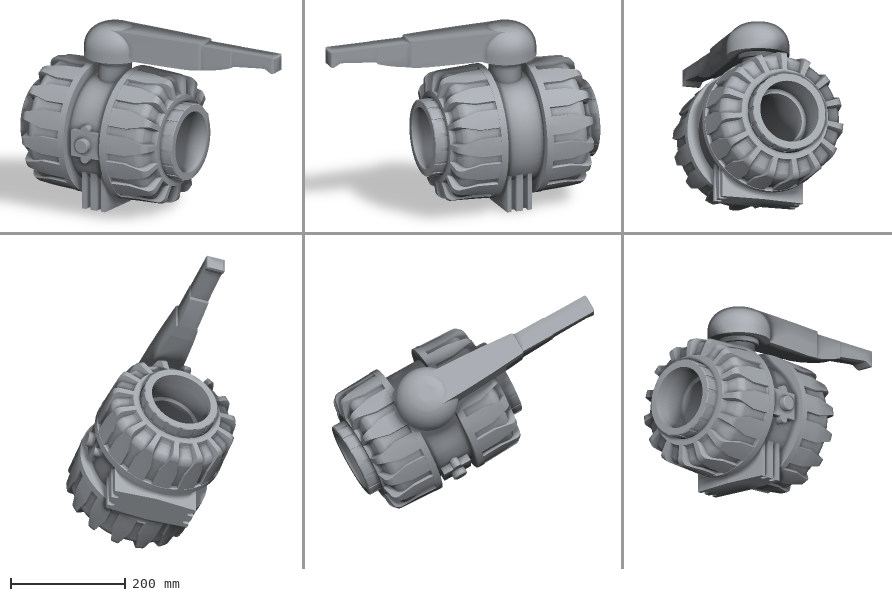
import cadquery as cq
import math


OVERALL_LENGTH = 484.0
BORE_DIA = 94.0
SOCKET_DIA = 110.0
PIPE_DIA = 137.0
PIPE_GROOVE_DIA = 134.0
NUT_BORE_DIA = 140.0
BARREL_DIA = 195.5
NUT_DIA = 237.5
COLLAR_DIA = 70.0

BARREL_HALF_LENGTH = 72.5
PIPE_END_X = 154.0

BOSS_BASE_R = 30.5
BOSS_TOP_R = 28.5
BOSS_BASE_Z = 87.0
BOSS_TOP_Z = 128.5

PAD_WIDTH = 53.0
PAD_HEIGHT = 47.5
PAD_FACE_Y = -108.0
PAD_ROOT_Y = -77.5
TAB_R = 8.0
TAB_CENTRE_Z = 25.5
PIN_R = 13.0
PIN_END_Y = -120.0
PIN_CHAMFER = 1.5

FOOT_BOTTOM_Z = -129.0
FOOT_TOP_Z = -53.0
FOOT_HALF_DEPTH = 76.0
FOOT_MIDDLE_HALF_WIDTH = 28.0
FOOT_END_HALF_WIDTH = 23.0
FOOT_SLOT_X = 10.5
FOOT_SLOT_WIDTH = 8.5
FOOT_SLOT_DEPTH = 12.5

SOCKET_DEPTH = 62.0
PIPE_GROOVE_COUNT = 16
PIPE_GROOVE_WIDTH = 6.5
PIPE_CHAMFER = 1.5

NUT_INNER_X = 36.5
NUT_FLANGE_X = 48.5
NUT_OUTER_X = 131.5
FACE_RING_R = 81.5
RIB_COUNT = 15
RIB_HALF_WIDTH = 16.5
RIB_TIP_HALF_WIDTH = 4.5
RIB_TAPER_X = 84.5
RIB_ROOT_R = 75.0
RIB_START_R = 118.0
RIB_SHOULDER_X = 116.0
RIB_SHOULDER_R = 115.0
RIB_FACE_X = 128.5
RIB_FACE_R = 104.0
POCKET_R = 112.5
POCKET_BEND_X = 103.5
POCKET_FACE_X = 115.0
POCKET_FACE_R = 104.5
POCKET_ROOT_X = 122.0
POCKET_ROOT_R = 85.5
POCKET_RING_X = 125.5
POCKET_RING_R = 83.0
POCKET_STEP = 2.5
LUG_WIDTH = 15.5
LUG_THICKNESS = 2.5
LUG_ROOT_R = 106.5
LUG_TOP_R = 120.0

HUB_R = 55.0
DOME_FLAT_R = 14.0
HUB_BOTTOM_Z = 137.0
DOME_TOP_Z = 194.5
ARM_TOP_Z = 190.5
ARM_BOTTOM_Z = 140.0
ARM_END_X = 181.0
ARM_TOP_END_X = 184.0
GRIP_TOP_Z = 187.0
GRIP_START_X = 185.5
GRIP_STEP_X = 243.5
GRIP_STEP_END_X = 246.5
HANDLE_END_X = OVERALL_LENGTH - PIPE_END_X

ARM_BEND_X = 158.5
GRIP_START_BOTTOM_Z = 142.5
GRIP_BELLY_POINT = (214.0, 147.0)
GRIP_STEP_BOTTOM_Z = 155.5
GRIP_TAIL_BOTTOM_Z = 158.8
GRIP_WAIST_START_X = 306.0
GRIP_WAIST_END_X = 313.5
GRIP_WAIST_Z = 165.0
TIP_ROUND_X = 325.0
TIP_BOTTOM_Z = 158.8
TIP_CHAMFER = 2.0

ARM_ROOT_HALF_WIDTH = 30.5
ARM_SIDE_POINT = (92.0, 27.0)
ARM_END_HALF_WIDTH = 20.5
GRIP_HALF_WIDTH = 17.5
TAIL_HALF_WIDTH = 16.5
TIP_ROUND_POINT = (328.5, 15.5)
TIP_HALF_WIDTH = 12.5


def x_cylinder(diameter, x_from, x_to):
    """Solid cylinder along X."""
    return cq.Workplane("YZ").workplane(offset=x_from).circle(diameter / 2).extrude(x_to - x_from)


def y_cylinder(radius, y_from, y_to, z=0):
    """Solid cylinder along Y, from y_from toward the more negative y_to."""
    return cq.Workplane("XZ", origin=(0, y_from, z)).circle(radius).extrude(y_from - y_to)


def make_boss():
    outline = [
        (0, BOSS_BASE_Z),
        (BOSS_BASE_R, BOSS_BASE_Z),
        (BOSS_TOP_R, BOSS_TOP_Z),
        (0, BOSS_TOP_Z),
    ]
    return cq.Workplane("XZ").polyline(outline).close().revolve(360, (0, 0, 0), (0, 1, 0))


def make_pad():
    plate = (
        cq.Workplane("XZ", origin=(0, PAD_ROOT_Y, 0))
        .rect(PAD_WIDTH, PAD_HEIGHT)
        .extrude(PAD_ROOT_Y - PAD_FACE_Y)
    )
    for side in (-1, 1):
        plate = plate.union(y_cylinder(TAB_R, PAD_ROOT_Y, PAD_FACE_Y, side * TAB_CENTRE_Z))
    pin = y_cylinder(PIN_R, PAD_ROOT_Y, PIN_END_Y).faces("<Y").chamfer(PIN_CHAMFER)
    return plate.union(pin)


def make_foot():
    """Foot that narrows toward both Y ends, with two round-bottomed upright slots in each end."""
    plan = [
        (-FOOT_MIDDLE_HALF_WIDTH, 0),
        (-FOOT_END_HALF_WIDTH, -FOOT_HALF_DEPTH),
        (FOOT_END_HALF_WIDTH, -FOOT_HALF_DEPTH),
        (FOOT_MIDDLE_HALF_WIDTH, 0),
        (FOOT_END_HALF_WIDTH, FOOT_HALF_DEPTH),
        (-FOOT_END_HALF_WIDTH, FOOT_HALF_DEPTH),
    ]
    height = FOOT_TOP_Z - FOOT_BOTTOM_Z
    base = cq.Workplane("XY", origin=(0, 0, FOOT_BOTTOM_Z))
    foot = base.polyline(plan).close().extrude(height)
    slot_length = 2 * FOOT_SLOT_DEPTH
    for slot_x in (-FOOT_SLOT_X, FOOT_SLOT_X):
        for mouth_y in (-FOOT_HALF_DEPTH, FOOT_HALF_DEPTH):
            slot = base.center(slot_x, mouth_y).slot2D(slot_length, FOOT_SLOT_WIDTH, 90).extrude(height)
            foot = foot.cut(slot)
    return foot


def make_valve_body():
    barrel = x_cylinder(BARREL_DIA, -BARREL_HALF_LENGTH, BARREL_HALF_LENGTH)
    body = barrel.union(make_boss()).union(make_pad()).union(make_foot())
    return body.cut(x_cylinder(BORE_DIA, -BARREL_HALF_LENGTH, BARREL_HALF_LENGTH))


def make_pipe_end():
    """Connector on the +X side: grooved outside, stepped socket inside."""
    pipe = x_cylinder(PIPE_DIA, BARREL_HALF_LENGTH, PIPE_END_X).faces(">X").chamfer(PIPE_CHAMFER)
    groove_blank = (
        cq.Workplane("YZ", origin=(NUT_OUTER_X, 0, 0))
        .circle(PIPE_DIA / 2)
        .circle(PIPE_GROOVE_DIA / 2)
        .extrude(PIPE_END_X - NUT_OUTER_X)
    )
    pitch = 360 / PIPE_GROOVE_COUNT
    for i in range(PIPE_GROOVE_COUNT):
        bar = (
            cq.Workplane("XY")
            .box(PIPE_END_X, PIPE_GROOVE_WIDTH, PIPE_DIA, centered=(False, True, False))
            .rotate((0, 0, 0), (1, 0, 0), i * pitch)
        )
        pipe = pipe.cut(groove_blank.intersect(bar))
    socket = x_cylinder(SOCKET_DIA, PIPE_END_X - SOCKET_DEPTH, PIPE_END_X)
    return pipe.cut(x_cylinder(BORE_DIA, BARREL_HALF_LENGTH, PIPE_END_X)).cut(socket)


def revolve_about_x(sketch):
    return sketch.close().revolve(360, (0, 0, 0), (1, 0, 0))


def bulge_point(start, end, centre):
    """Middle point of the short arc from start to end about the given centre."""
    radius = math.dist(start, centre)
    middle = ((start[0] + end[0]) / 2 - centre[0], (start[1] + end[1]) / 2 - centre[1])
    scale = radius / math.hypot(*middle)
    return (centre[0] + middle[0] * scale, centre[1] + middle[1] * scale)


def make_nut_core():
    """Flange, pocket floors and the flat ring on the outer face."""
    bend_start = (POCKET_BEND_X, POCKET_R)
    bend_end = (POCKET_FACE_X, POCKET_FACE_R)
    bend_centre = (POCKET_BEND_X, POCKET_FACE_R - POCKET_STEP)
    return revolve_about_x(
        cq.Workplane("XY")
        .moveTo(NUT_INNER_X, 0)
        .lineTo(NUT_INNER_X, NUT_DIA / 2)
        .lineTo(NUT_FLANGE_X, NUT_DIA / 2)
        .lineTo(NUT_FLANGE_X, POCKET_R + POCKET_STEP)
        .lineTo(NUT_FLANGE_X + POCKET_STEP, POCKET_R)
        .lineTo(*bend_start)
        .threePointArc(bulge_point(bend_start, bend_end, bend_centre), bend_end)
        .lineTo(POCKET_ROOT_X, POCKET_ROOT_R)
        .lineTo(POCKET_RING_X, POCKET_RING_R)
        .lineTo(NUT_OUTER_X, FACE_RING_R)
        .lineTo(NUT_OUTER_X, 0)
    )


def make_rib_envelope():
    """Turned shape that bounds the rib crests: a slight cone with a rounded outer shoulder."""
    shoulder_start = (RIB_SHOULDER_X, RIB_SHOULDER_R)
    shoulder_end = (RIB_FACE_X, RIB_FACE_R)
    shoulder_centre = (RIB_SHOULDER_X, RIB_FACE_R)
    return revolve_about_x(
        cq.Workplane("XY")
        .moveTo(NUT_FLANGE_X, 0)
        .lineTo(NUT_FLANGE_X, RIB_START_R)
        .lineTo(*shoulder_start)
        .threePointArc(bulge_point(shoulder_start, shoulder_end, shoulder_centre), shoulder_end)
        .lineTo(NUT_OUTER_X, FACE_RING_R)
        .lineTo(NUT_OUTER_X, 0)
    )


def make_rib_blank():
    """Prism of one rib, pointing along -Z and tapering toward the outer face."""
    plan = [
        (NUT_FLANGE_X, -RIB_HALF_WIDTH),
        (RIB_TAPER_X, -RIB_HALF_WIDTH),
        (NUT_OUTER_X, -RIB_TIP_HALF_WIDTH),
        (NUT_OUTER_X, RIB_TIP_HALF_WIDTH),
        (RIB_TAPER_X, RIB_HALF_WIDTH),
        (NUT_FLANGE_X, RIB_HALF_WIDTH),
    ]
    height = NUT_DIA / 2 - RIB_ROOT_R
    return cq.Workplane("XY", origin=(0, 0, -NUT_DIA / 2)).polyline(plan).close().extrude(height)


def make_nut():
    """Nut on the +X side, with a rib at the bottom and a pocket at the top."""
    nut = make_nut_core()
    rib = make_rib_blank().intersect(make_rib_envelope())
    for i in range(RIB_COUNT):
        nut = nut.union(rib.rotate((0, 0, 0), (1, 0, 0), i * 360 / RIB_COUNT))
    nut = nut.cut(x_cylinder(BARREL_DIA, NUT_INNER_X, BARREL_HALF_LENGTH))
    return nut.cut(x_cylinder(NUT_BORE_DIA, BARREL_HALF_LENGTH, NUT_OUTER_X))


def make_lug():
    """Small marker lug against the flange of the -X side nut, in its bottom pocket."""
    height = LUG_TOP_R - LUG_ROOT_R
    lug = cq.Workplane("XY").box(LUG_THICKNESS, LUG_WIDTH, height, centered=(False, True, False))
    return lug.translate((-NUT_FLANGE_X - LUG_THICKNESS, 0, -LUG_TOP_R))


def make_hub():
    """Collar, rim and dome, turned about the stem axis."""
    dome_bend = HUB_R - DOME_FLAT_R
    bend_z = DOME_TOP_Z - dome_bend
    middle = dome_bend * math.sqrt(0.5)
    return (
        cq.Workplane("XZ")
        .moveTo(0, BOSS_TOP_Z)
        .lineTo(COLLAR_DIA / 2, BOSS_TOP_Z)
        .lineTo(COLLAR_DIA / 2, HUB_BOTTOM_Z)
        .lineTo(HUB_R, HUB_BOTTOM_Z)
        .lineTo(HUB_R, bend_z)
        .threePointArc((DOME_FLAT_R + middle, bend_z + middle), (DOME_FLAT_R, DOME_TOP_Z))
        .lineTo(0, DOME_TOP_Z)
        .close()
        .revolve(360, (0, 0, 0), (0, 1, 0))
    )


def make_arm():
    """Lever arm and grip: the side outline and the plan outline crossed with each other."""
    side = (
        cq.Workplane("XZ")
        .moveTo(0, ARM_BOTTOM_Z)
        .lineTo(ARM_BEND_X, ARM_BOTTOM_Z)
        .lineTo(GRIP_START_X, GRIP_START_BOTTOM_Z)
        .threePointArc(GRIP_BELLY_POINT, (GRIP_STEP_X, GRIP_STEP_BOTTOM_Z))
        .lineTo(GRIP_STEP_END_X, GRIP_TAIL_BOTTOM_Z)
        .lineTo(GRIP_WAIST_START_X, GRIP_WAIST_Z)
        .lineTo(GRIP_WAIST_END_X, GRIP_WAIST_Z)
        .lineTo(TIP_ROUND_X, TIP_BOTTOM_Z)
        .lineTo(HANDLE_END_X, TIP_BOTTOM_Z)
        .lineTo(HANDLE_END_X, GRIP_TOP_Z - TIP_CHAMFER)
        .lineTo(HANDLE_END_X - TIP_CHAMFER, GRIP_TOP_Z)
        .lineTo(GRIP_START_X, GRIP_TOP_Z)
        .lineTo(ARM_TOP_END_X, ARM_TOP_Z)
        .lineTo(0, ARM_TOP_Z)
        .close()
        .extrude(HUB_R, both=True)
    )
    half_plan = (
        cq.Workplane("XY")
        .lineTo(0, ARM_ROOT_HALF_WIDTH)
        .threePointArc(ARM_SIDE_POINT, (ARM_END_X, ARM_END_HALF_WIDTH))
        .lineTo(GRIP_START_X, GRIP_HALF_WIDTH)
        .lineTo(GRIP_STEP_X, GRIP_HALF_WIDTH)
        .lineTo(GRIP_STEP_END_X, TAIL_HALF_WIDTH)
        .lineTo(TIP_ROUND_X, TAIL_HALF_WIDTH)
        .threePointArc(TIP_ROUND_POINT, (HANDLE_END_X, TIP_HALF_WIDTH))
        .lineTo(HANDLE_END_X, 0)
        .close()
        .extrude(DOME_TOP_Z)
    )
    return side.intersect(half_plan.union(half_plan.mirror("XZ")))


def make_handle():
    return make_hub().union(make_arm())


def make_pair(part):
    """A +X side part followed by its -X side copy, turned half a turn about Y."""
    return [part.rotate((0, 0, 0), (0, 1, 0), turn) for turn in (0, 180)]


valve_body = make_valve_body()
handle = make_handle()
pipe_ends = make_pair(make_pipe_end())
plain_nut, nut = make_pair(make_nut())
marked_nut = nut.union(make_lug())

result = cq.Compound.makeCompound(
    [
        valve_body.val(),
        handle.val(),
        *[pipe_end.val() for pipe_end in pipe_ends],
        plain_nut.val(),
        marked_nut.val(),
    ]
)